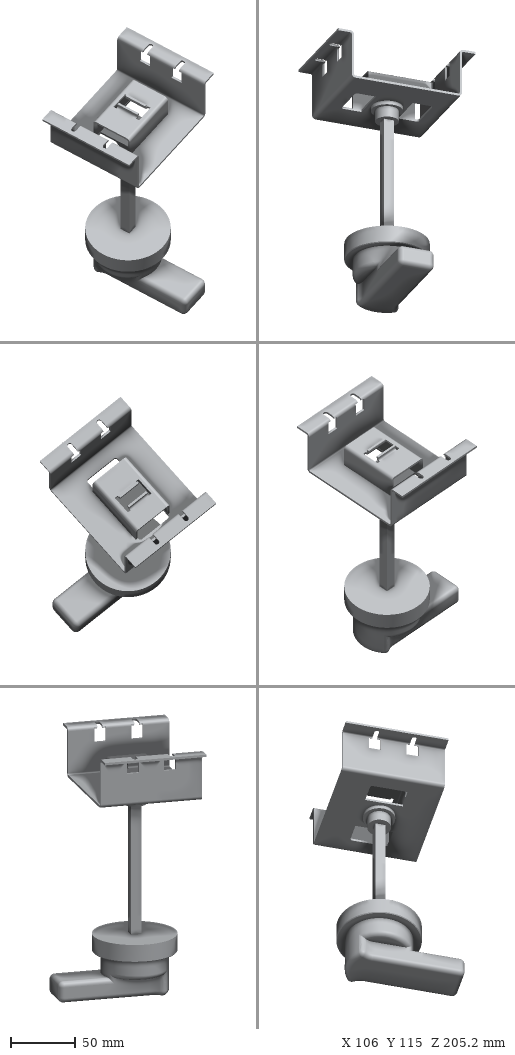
import cadquery as cq
import math

hub_radius = 26.7
hub_height = 34.0
disc_radius = 33.2
disc_top = 48.2
disc_chamfer = 0.6
lever_height = 17.0
lever_tip_x = 65.0
lever_front_y = -16.2
lever_back_y = 13.7
lever_round = 4.1
flare_start_x = -8.8
flare_radius = 12.3

shaft_width = 8.2
collar_radius = 9.2
collar_bottom = 153.0
collar_flange_radius = 12.5
collar_flange_bottom = 162.1

total_height = 205.2
bracket_length = 82
bracket_width = 115
bracket_bottom = 165.2
sheet_thickness = 1.8
wall_inner_y = 44.3
bracket_bend = 1.2
floor_top = bracket_bottom + sheet_thickness

slot_x = 15.0
slot_width = 4.1
slot_end_y = 54.2
window_width = 9.5
window_bottom = 191.7
window_top = total_height - sheet_thickness
floor_window_width = 30.2
floor_window_outer_y = 32.5
floor_window_inner_y = 15.4
floor_window_round = 2

cover_width = 34.5
cover_front_y = -22.4
cover_back_y = 29.8
cover_top = 186.0
cover_round = 3.0

opening_left_x = -12.3
opening_right_x = 11.7
opening_front_y = -1.8
opening_back_y = 13.7
tab_left_x = -9.6
tab_right_x = 9.0
tab_top = 189.2
tab_bend = 1.6

tolerance = 0.02


def block(x_min, x_max, y_min, y_max, z_min, z_max):
    """Axis-aligned box given by its limits."""
    size = (x_max - x_min, y_max - y_min, z_max - z_min)
    return cq.Workplane().box(*size, centered=False).translate((x_min, y_min, z_min))


def cylinder(radius, z_min, z_max):
    """Cylinder on the drive axis."""
    return cq.Workplane().workplane(offset=z_min).circle(radius).extrude(z_max - z_min)


def hub_pocket(flank_y):
    """Space beside the lever: straight flank that flares outward at its left end."""
    side = math.copysign(1, flank_y)
    outside = side * 2 * hub_radius
    flare_end = (flare_start_x - flare_radius, flank_y + side * flare_radius)
    diagonal = flare_radius * math.sqrt(0.5)
    flare_middle = (flare_start_x - diagonal, flank_y + side * (flare_radius - diagonal))
    return (
        cq.Workplane()
        .moveTo(2 * hub_radius, flank_y)
        .lineTo(flare_start_x, flank_y)
        .threePointArc(flare_middle, flare_end)
        .lineTo(flare_end[0], outside)
        .lineTo(2 * hub_radius, outside)
        .close()
        .extrude(lever_height)
    )


def is_rim(edge):
    """True for edges of the hub pockets and base that lie on the hub cylinder."""
    middle = edge.positionAt(0.5)
    on_cylinder = abs(math.hypot(middle.x, middle.y) - hub_radius) < tolerance
    return on_cylinder and middle.z < lever_height + tolerance


def make_hub():
    """Hub cylinder with a pocket on each side of the lever, outer edges rounded."""
    hub = cylinder(hub_radius, 0, hub_height)
    for flank_y in (lever_front_y, lever_back_y):
        hub = hub.cut(hub_pocket(flank_y))

    edges = [edge for edge in hub.edges().vals() if is_rim(edge) or edge.Center().z < tolerance]
    return hub.newObject(edges).fillet(lever_round)


def make_lever():
    """Lever bar from the hub centre to the tip."""
    bar = block(0, lever_tip_x, lever_front_y, lever_back_y, 0, lever_height)
    return bar.edges("|X").fillet(lever_round).faces(">X").edges().fillet(lever_round)


def make_disc():
    """Flange disc on the hub, its lower edge chamfered."""
    disc = cylinder(disc_radius, hub_height, disc_top)
    return disc.faces("<Z").edges().chamfer(disc_chamfer)


def make_drive():
    """Square shaft running up into the stepped collar under the bracket."""
    half = shaft_width / 2
    shaft = block(-half, half, -half, half, disc_top, collar_bottom)
    collar = cylinder(collar_radius, collar_bottom, collar_flange_bottom)
    collar_flange = cylinder(collar_flange_radius, collar_flange_bottom, bracket_bottom)
    return shaft.union(collar).union(collar_flange)


def round_bends(bracket, y, z, radius):
    """Round the pair of edges along X at (+y, z) and (-y, z)."""
    edges = [
        edge
        for edge in bracket.edges("|X").vals()
        if math.hypot(abs(edge.Center().y) - y, edge.Center().z - z) < tolerance
    ]
    return bracket.newObject(edges).fillet(radius)


def make_bracket():
    """Channel bent from sheet: floor, two walls and two outward flanges."""
    half_length = bracket_length / 2
    half_width = bracket_width / 2
    wall_outer_y = wall_inner_y + sheet_thickness
    flange_bottom = total_height - sheet_thickness
    outer_bend = bracket_bend + sheet_thickness

    def centred(half_y, z_min, z_max):
        return block(-half_length, half_length, -half_y, half_y, z_min, z_max)

    bracket = centred(wall_outer_y, bracket_bottom, total_height)
    bracket = bracket.union(centred(half_width, flange_bottom, total_height))
    bracket = bracket.cut(centred(wall_inner_y, floor_top, total_height))

    bracket = round_bends(bracket, wall_outer_y, bracket_bottom, outer_bend)
    bracket = round_bends(bracket, wall_inner_y, floor_top, bracket_bend)
    bracket = round_bends(bracket, wall_inner_y, total_height, outer_bend)
    return round_bends(bracket, wall_outer_y, flange_bottom, bracket_bend)


def bracket_openings():
    """Slots through the flanges, windows in the walls and windows in the floor."""
    slot_length = slot_end_y - wall_inner_y + slot_width
    slot_centre_y = slot_end_y - slot_length / 2
    wall_outer_y = wall_inner_y + sheet_thickness
    slot_bottom = total_height - sheet_thickness - bracket_bend
    slot_centres = [(x, y) for x in (-slot_x, slot_x) for y in (-slot_centre_y, slot_centre_y)]
    openings = (
        cq.Workplane()
        .workplane(offset=slot_bottom)
        .pushPoints(slot_centres)
        .slot2D(slot_length, slot_width, 90)
        .extrude(total_height - slot_bottom)
    )
    for x in (-slot_x, slot_x):
        left = x - window_width / 2
        right = x + window_width / 2
        window = block(left, right, wall_inner_y, wall_outer_y, window_bottom, window_top)
        openings = openings.union(window).union(window.mirror("XZ"))

    half = floor_window_width / 2
    back_window = block(-half, half, floor_window_inner_y, floor_window_outer_y, bracket_bottom, floor_top)
    back_window = back_window.edges("|Z and >Y").fillet(floor_window_round)
    return openings.union(back_window).union(back_window.mirror("XZ"))


def make_tab(foot_y, inward):
    """Tab bent up from the opening edge at foot_y; inward (+1 or -1) points into the opening."""
    sheet_bottom = cover_top - sheet_thickness
    outer_face_y = foot_y + inward * tab_bend
    inner_face_y = outer_face_y + inward * sheet_thickness
    diagonal = math.sqrt(0.5)
    bend_z = cover_top + tab_bend
    outer_bend = tab_bend + sheet_thickness
    return (
        cq.Workplane("YZ")
        .workplane(offset=tab_left_x)
        .moveTo(foot_y, cover_top)
        .threePointArc(
            (foot_y + inward * tab_bend * diagonal, bend_z - tab_bend * diagonal),
            (outer_face_y, bend_z),
        )
        .lineTo(outer_face_y, tab_top)
        .lineTo(inner_face_y, tab_top)
        .lineTo(inner_face_y, bend_z)
        .threePointArc(
            (foot_y + inward * outer_bend * diagonal, bend_z - outer_bend * diagonal),
            (foot_y, sheet_bottom),
        )
        .close()
        .extrude(tab_right_x - tab_left_x)
    )


def make_cover():
    """Inverted U of sheet with rounded top edges, an opening and its two tabs."""
    half = cover_width / 2
    inner_half = half - sheet_thickness
    sheet_bottom = cover_top - sheet_thickness
    cover = block(-half, half, cover_front_y, cover_back_y, floor_top, cover_top)
    cover = cover.edges("|Y and >Z").fillet(cover_round)
    inside = block(-inner_half, inner_half, cover_front_y, cover_back_y, floor_top, sheet_bottom)
    inside = inside.edges("|Y and >Z").fillet(cover_round - sheet_thickness)
    opening = block(
        opening_left_x, opening_right_x, opening_front_y, opening_back_y, sheet_bottom, cover_top
    )
    cover = cover.cut(inside).cut(opening)
    return cover.union(make_tab(opening_front_y, 1)).union(make_tab(opening_back_y, -1))


result = (
    make_hub()
    .union(make_lever())
    .union(make_disc())
    .union(make_drive())
    .union(make_bracket().cut(bracket_openings()))
    .union(make_cover())
)